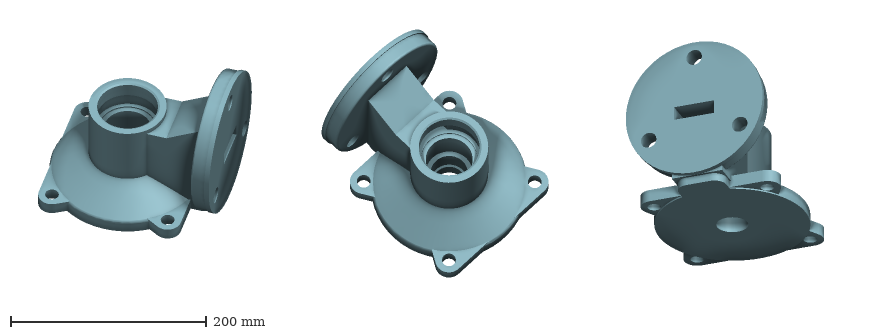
import cadquery as cq
import math

overall_length = 190.0
overall_height = 157.0
wall_slope = math.radians(30)
slope_ratio = math.tan(wall_slope)

base_radius = 160.0 / 2
rim_fillet = 4.0
lug_top = 14.5
tube_radius = 80.0 / 2
tube_top = 102.0
cone_radius = base_radius - rim_fillet * (1 - math.sin(wall_slope))
cone_top = lug_top + (cone_radius - tube_radius) * slope_ratio
rim_height = lug_top - rim_fillet * math.cos(wall_slope)

lug_bottom = 1.5
lug_radius = 14.0
lug_offset = 62.0
lug_hole_diameter = 14.0

flange_face_x = overall_length - base_radius
flange_lip_diameter = 150.0
flange_lip_thickness = 5.1
flange_body_diameter = 146.9
flange_thickness = 20.3
flange_fillet = 2.5
flange_axis_z = overall_height - flange_lip_diameter / 2
flange_back_x = flange_face_x - flange_thickness
bolt_count = 3
bolt_circle_radius = 57.5
bolt_hole_diameter = 17.0

web_width = 55.1
web_bottom = flange_axis_z - flange_body_diameter / 2
web_top = 96.7
web_slope_start_x = 50.0
web_end_x = 102.0

foot_width = 52.0
foot_end_x = 99.0
foot_corner_radius = 13.0

seat_radius = 62.3 / 2
mouth_chamfer_width = 1.9
mouth_chamfer_depth = mouth_chamfer_width * slope_ratio
seat_bottom = tube_top - 16.0
chamber_radius = 33.0
chamber_floor = tube_top - 30.4
recess_radius = 58.0 / 2
recess_floor = chamber_floor - 1.5
middle_bore_radius = 48.0 / 2
middle_bore_floor = cone_top
lower_bore_radius = 38.0 / 2
lower_bore_floor = lug_top
shaft_hole_radius = 33.0 / 2

passage_width = 43.7


def make_body():
    """Base disc, rim fillet, cone and tube as one revolved profile."""
    fillet_middle_angle = (math.pi / 2 - wall_slope) / 2
    fillet_middle = (
        base_radius - rim_fillet * (1 - math.cos(fillet_middle_angle)),
        rim_height + rim_fillet * math.sin(fillet_middle_angle),
    )
    return (
        cq.Workplane("XZ")
        .lineTo(base_radius, 0)
        .lineTo(base_radius, rim_height)
        .threePointArc(fillet_middle, (cone_radius, lug_top))
        .lineTo(tube_radius, cone_top)
        .lineTo(tube_radius, tube_top)
        .lineTo(0, tube_top)
        .close()
        .revolve(360, (0, 0, 0), (0, 1, 0))
    )


def make_lug():
    """Lug at the +X +Y corner: straight on its X side, with a sloping flank on its Y side."""
    flank_x = lug_offset - lug_radius * math.sin(wall_slope)
    flank_y = lug_offset + lug_radius * math.cos(wall_slope)
    corner_reach = lug_radius / math.sqrt(2)
    return (
        cq.Workplane("XY", origin=(0, 0, lug_bottom))
        .lineTo(lug_offset + lug_radius, 0)
        .lineTo(lug_offset + lug_radius, lug_offset)
        .threePointArc((lug_offset + corner_reach, lug_offset + corner_reach), (flank_x, flank_y))
        .lineTo(0, flank_y - flank_x * slope_ratio)
        .close()
        .extrude(lug_top - lug_bottom)
    )


def make_lugs():
    right_pair = make_lug().union(make_lug().mirror("XZ"))
    return right_pair.union(right_pair.mirror("YZ"))


def make_web():
    slope_end_z = web_top + (flange_back_x - web_slope_start_x) * slope_ratio
    return (
        cq.Workplane("XZ")
        .moveTo(0, web_bottom)
        .lineTo(web_end_x, web_bottom)
        .lineTo(web_end_x, slope_end_z)
        .lineTo(flange_back_x, slope_end_z)
        .lineTo(web_slope_start_x, web_top)
        .lineTo(0, web_top)
        .close()
        .extrude(web_width / 2, both=True)
    )


def make_foot():
    return (
        cq.Workplane("XY")
        .box(foot_end_x, foot_width, web_bottom, centered=(False, True, False))
        .edges("|Z and >X")
        .fillet(foot_corner_radius)
    )


def make_flange():
    body = (
        cq.Workplane("YZ", origin=(flange_back_x, 0, flange_axis_z))
        .circle(flange_body_diameter / 2)
        .extrude(flange_thickness)
        .faces("<X")
        .edges()
        .fillet(flange_fillet)
    )
    lip = (
        cq.Workplane("YZ", origin=(flange_face_x - flange_lip_thickness, 0, flange_axis_z))
        .circle(flange_lip_diameter / 2)
        .extrude(flange_lip_thickness)
    )
    return body.union(lip)


def make_bore():
    """Stepped bore with a lead-in chamfer and a wider chamber below the bearing seat."""
    return (
        cq.Workplane("XZ")
        .lineTo(shaft_hole_radius, 0)
        .lineTo(shaft_hole_radius, lower_bore_floor)
        .lineTo(lower_bore_radius, lower_bore_floor)
        .lineTo(lower_bore_radius, middle_bore_floor)
        .lineTo(middle_bore_radius, middle_bore_floor)
        .lineTo(middle_bore_radius, recess_floor)
        .lineTo(recess_radius, recess_floor)
        .lineTo(recess_radius, chamber_floor)
        .lineTo(chamber_radius, chamber_floor)
        .lineTo(chamber_radius, seat_bottom)
        .lineTo(seat_radius, seat_bottom)
        .lineTo(seat_radius, tube_top - mouth_chamfer_depth)
        .lineTo(seat_radius + mouth_chamfer_width, tube_top)
        .lineTo(0, tube_top)
        .close()
        .revolve(360, (0, 0, 0), (0, 1, 0))
    )


def make_passage():
    return cq.Workplane("XY", origin=(0, 0, chamber_floor)).box(
        flange_face_x, passage_width, seat_bottom - chamber_floor, centered=(False, True, False)
    )


def make_lug_holes():
    return (
        cq.Workplane("XY")
        .rect(2 * lug_offset, 2 * lug_offset, forConstruction=True)
        .vertices()
        .circle(lug_hole_diameter / 2)
        .extrude(lug_top)
    )


def make_bolt_holes():
    first_hole_angle = 90
    return (
        cq.Workplane("YZ", origin=(flange_back_x, 0, flange_axis_z))
        .polarArray(bolt_circle_radius, first_hole_angle, 360, bolt_count)
        .circle(bolt_hole_diameter / 2)
        .extrude(flange_thickness)
    )


solid_parts = make_body().union(make_lugs()).union(make_web()).union(make_foot()).union(make_flange())
result = solid_parts.cut(make_bore()).cut(make_passage()).cut(make_lug_holes()).cut(make_bolt_holes())